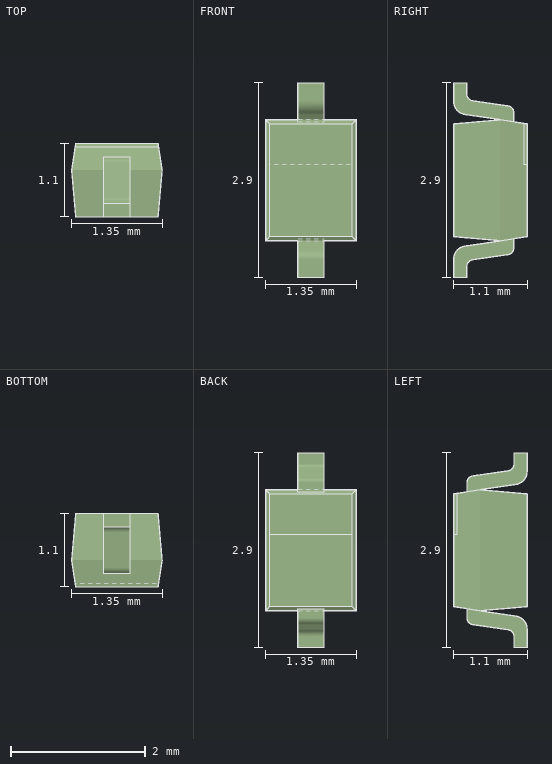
import cadquery as cq

lead_span = 2.9
body_depth = 1.1

parting_y = 0.7
parting_width = 1.35
parting_height = 1.805
face_inset = 0.06
face_width = parting_width - 2 * face_inset
face_height = parting_height - 2 * face_inset

band_depth = 0.052
band_bottom_z = 0.235

lead_width = 0.397
lead_thickness = 0.2
arm_back_y = parting_y + lead_thickness
arm_rise = 0.102
shoulder_z = 1.095
small_bend_radius = 0.1
large_bend_radius = 0.2


def housing_half(face_y):
    """Frustum from the parting plane to the smaller face at face_y."""
    reach = face_y - parting_y
    return (
        cq.Workplane("XZ", origin=(0, parting_y, 0))
        .rect(parting_width, parting_height)
        .workplane(offset=-reach)
        .rect(face_width, face_height)
        .loft(ruled=True)
    )


def make_band():
    """Thin plate as wide as the back face, flush with it."""
    height = face_height / 2 - band_bottom_z
    return cq.Workplane("XY").box(
        face_width, band_depth, height, centered=(True, False, False)
    ).translate((0, body_depth - band_depth, band_bottom_z))


def make_housing(band):
    """Both tapered halves with a recess for the band."""
    return housing_half(0).union(housing_half(body_depth)).cut(band).solids()


def make_lead(housing):
    """Upper gull-wing lead, trimmed to rest on the sloping end of the housing."""
    parting_z = parting_height / 2
    profile = [
        (0, lead_span / 2),
        (lead_thickness, lead_span / 2),
        (lead_thickness, shoulder_z + arm_rise),
        (arm_back_y, shoulder_z),
        (arm_back_y, face_height / 2),
        (parting_y, face_height / 2),
        (parting_y, parting_z),
        (0, parting_z + arm_rise),
    ]
    blank = (
        cq.Workplane("YZ").polyline(profile).close().extrude(lead_width / 2, both=True)
    )

    def bend(part, corner, radius):
        edge = cq.selectors.NearestToPointSelector((0, *corner))
        return part.edges("|X").edges(edge).fillet(radius)

    lead = bend(blank, (lead_thickness, shoulder_z + arm_rise), small_bend_radius)
    lead = bend(lead, (arm_back_y, shoulder_z), small_bend_radius)
    lead = bend(lead, (0, parting_z + arm_rise), large_bend_radius)
    return lead.cut(housing).solids()


band = make_band()
housing = make_housing(band)
upper_lead = make_lead(housing)
leads = [upper_lead.rotate((0, 0, 0), (0, 1, 0), turn).val() for turn in (0, 180)]

result = cq.Compound.makeCompound([housing.val(), band.val(), *leads])